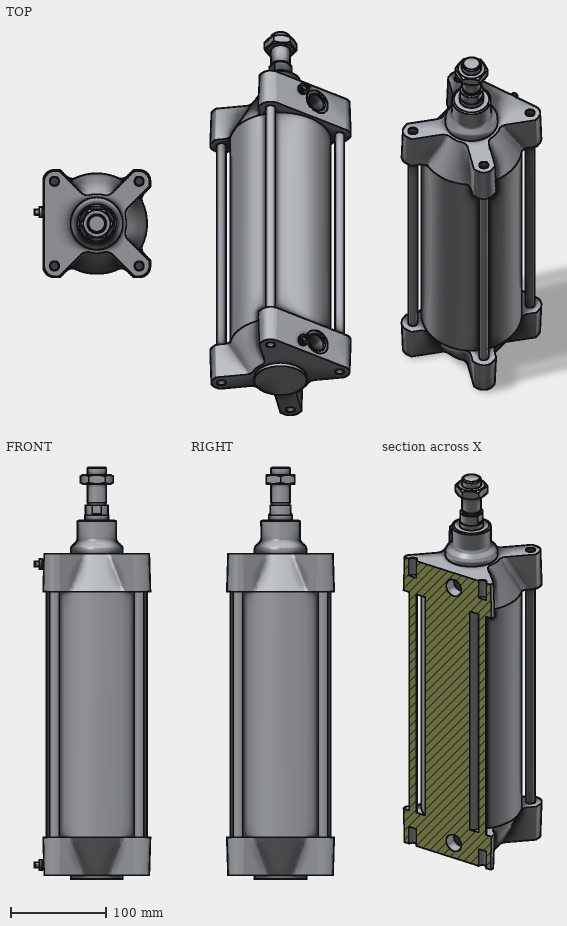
import cadquery as cq
import math


barrel_diameter = 106.0
barrel_length = 258.0
tie_rod_diameter = 10.0
tie_rod_spacing = 89.0

cap_side = 113.0
cap_height = 40.0
cap_draft = 1.8
cap_corner_radius = (cap_side - tie_rod_spacing) / 2
pocket_apex = 17.8
pocket_lip_radius = 2.5
dome_top_radius = 31.0
dome_fillet = 8.0
cap_hole_diameter = 8.9
cap_hole_mouth_diameter = 10.0
cap_hole_depth = 20.0
port_y = -8.0
port_below_face = 18.0
port_bore_diameter = 18.6
port_mouth_diameter = 21.0
port_spotface_diameter = 27.0
port_spotface_depth = 1.0
port_depth = 25.0

screw_y = 12.0
screw_below_face = 11.0
screw_tip_x = -65.5
screw_tip_diameter = 6.0
screw_tip_length = 5.0
screw_collar_diameter = 11.0
screw_collar_width = 3.0
screw_shank_diameter = 10.0
screw_slot_width = 1.2
screw_slot_depth = 1.0

spigot_diameter = 55.0
bottom_spigot_height = 4.0
top_spigot_height = 6.6
gland_diameter = 41.0
gland_height = 35.0
gland_blend_radius = 5.0
gland_rim_height = 1.0
gland_rim_width = 2.0

rod_insertion = cap_height
rod_diameter = 25.0
rod_shoulder_height = 40.5
wrench_diameter = 24.0
wrench_flats = 22.0
wrench_end_height = 51.0
flat_runout = 1.5
undercut_diameter = 18.5
undercut_height = 2.7
thread_diameter = 20.0
thread_chamfer = 1.5
rod_end_height = 91.0

nut_width = 30.0
nut_height = 10.0
nut_below_rod_end = 8.0
nut_face_diameter = 28.5
nut_bevel_angle = math.radians(30)

top_face_z = barrel_length / 2 + cap_height
tie_rod_offset = tie_rod_spacing / 2
corner_spots = [(x, y) for x in (-tie_rod_offset, tie_rod_offset) for y in (-tie_rod_offset, tie_rod_offset)]

pick_margin = 1.0


def cylinder(diameter, z_low, z_high):
    return cq.Workplane("XY").workplane(offset=z_low).circle(diameter / 2).extrude(z_high - z_low)


def x_cylinder(diameter, x_low, x_high, y, z):
    return (
        cq.Workplane("YZ", origin=(x_low, 0, 0))
        .center(y, z)
        .circle(diameter / 2)
        .extrude(x_high - x_low)
    )


def pocket(angle):
    """Drafted 90 degree V-shaped prism that parts two neighbouring corner arms."""
    reach = cap_side
    return (
        cq.Workplane("XY")
        .polyline([(pocket_apex, 0), (reach, reach - pocket_apex), (reach, pocket_apex - reach)])
        .close()
        .extrude(cap_height, taper=-cap_draft)
        .rotate((0, 0, 0), (0, 0, 1), angle)
    )


def is_lip(edge):
    """True for the upright edges where a pocket wall meets an outer side face."""
    middle = edge.Center()
    across = min(abs(middle.x), abs(middle.y))
    upright = edge.BoundingBox().zlen > cap_height / 2
    return upright and abs(across - (cap_side / 2 - pocket_apex)) < pick_margin


def is_dome_seam(edge):
    """True for the curves along which the conical dome runs into a pocket wall."""
    return edge.geomType() not in ("LINE", "CIRCLE") and edge.BoundingBox().zlen > cap_height / 2


def cap_casting():
    """End cap casting with its barrel side on Z = 0 and its outer face on top."""
    block = (
        cq.Workplane("XY")
        .sketch()
        .rect(cap_side, cap_side)
        .vertices()
        .fillet(cap_corner_radius)
        .finalize()
        .extrude(cap_height, taper=cap_draft)
    )
    for angle in (-90, 0, 90):
        block = block.cut(pocket(angle))
    lips = [edge for edge in block.edges().vals() if is_lip(edge)]
    block = block.newObject(lips).fillet(pocket_lip_radius)

    dome = cq.Workplane("XY").add(
        cq.Solid.makeCone(barrel_diameter / 2, dome_top_radius, cap_height)
    )
    block = block.union(dome)
    seams = [edge for edge in block.edges().vals() if is_dome_seam(edge)]
    return block.newObject(seams).fillet(dome_fillet)


def port_cut():
    """Air port bored in from the flat -X side, with a spotface and a bevelled mouth."""
    z = cap_height - port_below_face
    face_x = -cap_side / 2 + z * math.tan(math.radians(cap_draft))
    floor_x = face_x + port_spotface_depth
    bevel = (port_mouth_diameter - port_bore_diameter) / 2
    spotface = x_cylinder(port_spotface_diameter, -cap_side, floor_x, port_y, z)
    bore = x_cylinder(port_bore_diameter, -cap_side, face_x + port_depth, port_y, z)
    mouth = cq.Workplane("XY").add(
        cq.Solid.makeCone(
            port_mouth_diameter / 2,
            port_bore_diameter / 2,
            bevel,
            pnt=cq.Vector(floor_x, port_y, z),
            dir=cq.Vector(1, 0, 0),
        )
    )
    return spotface.union(bore).union(mouth)


def cushion_screw():
    """Slotted adjusting screw standing out of the flat -X side."""
    z = cap_height - screw_below_face
    collar_x = screw_tip_x + screw_tip_length
    shank_x = collar_x + screw_collar_width
    root_x = -tie_rod_offset
    tip = x_cylinder(screw_tip_diameter, screw_tip_x, root_x, screw_y, z)
    collar = x_cylinder(screw_collar_diameter, collar_x, shank_x, screw_y, z)
    shank = x_cylinder(screw_shank_diameter, shank_x, root_x, screw_y, z)
    slot = cq.Workplane("XY").box(
        2 * screw_slot_depth, screw_tip_diameter, screw_slot_width
    ).translate((screw_tip_x, screw_y, z))
    return tip.union(collar).union(shank).cut(slot)


def end_cap():
    """Finished cap: casting, corner holes with bevelled mouths, air port and cushion screw."""
    hole = cylinder(cap_hole_diameter, cap_height - cap_hole_depth, cap_height)
    mouth_bevel = (cap_hole_mouth_diameter - cap_hole_diameter) / 2
    mouth = cq.Workplane("XY").add(
        cq.Solid.makeCone(
            cap_hole_diameter / 2,
            cap_hole_mouth_diameter / 2,
            mouth_bevel,
            pnt=cq.Vector(0, 0, cap_height - mouth_bevel),
        )
    )
    hole = hole.union(mouth)
    cap = cap_casting()
    for x, y in corner_spots:
        cap = cap.cut(hole.translate((x, y, 0)))
    return cap.cut(port_cut()).union(cushion_screw())


def rod_gland():
    """Turned boss on the top cap: spigot, 45 degree shoulder and guide sleeve."""
    spigot_radius = spigot_diameter / 2
    sleeve_radius = gland_diameter / 2
    shoulder_height = top_spigot_height + spigot_radius - sleeve_radius
    boss = (
        cq.Workplane("XZ")
        .moveTo(0, 0)
        .lineTo(spigot_radius, 0)
        .lineTo(spigot_radius, top_spigot_height)
        .lineTo(sleeve_radius, shoulder_height)
        .lineTo(sleeve_radius, gland_height)
        .lineTo(0, gland_height)
        .close()
        .revolve(360, (0, 0, 0), (0, 1, 0))
    )
    shoulder_edges = [
        edge
        for edge in boss.edges("%CIRCLE").vals()
        if top_spigot_height - pick_margin < edge.Center().z < shoulder_height + pick_margin
    ]
    boss = boss.newObject(shoulder_edges).fillet(gland_blend_radius)
    rim_bevel = (
        cq.Workplane("XZ")
        .moveTo(sleeve_radius, gland_height)
        .lineTo(sleeve_radius - gland_rim_width, gland_height)
        .lineTo(sleeve_radius, gland_height - gland_rim_height)
        .close()
        .revolve(360, (0, 0, 0), (0, 1, 0))
    )
    return boss.cut(rim_bevel).translate((0, 0, top_face_z))


def make_housing():
    """Barrel, tie rods, both caps, bottom spigot and gland, bored for the rod."""
    half_length = barrel_length / 2
    cap = end_cap()
    top_cap = cap.translate((0, 0, half_length))
    bottom_cap = cap.mirror("XY").translate((0, 0, -half_length))
    tie_rods = (
        cq.Workplane("XY")
        .workplane(offset=-half_length)
        .pushPoints(corner_spots)
        .circle(tie_rod_diameter / 2)
        .extrude(barrel_length)
    )
    bottom_spigot = cylinder(spigot_diameter, -top_face_z - bottom_spigot_height, -top_face_z)
    housing = cylinder(barrel_diameter, -half_length, half_length)
    for piece in (top_cap, bottom_cap, tie_rods, bottom_spigot, rod_gland()):
        housing = housing.union(piece)
    return housing.cut(cylinder(rod_diameter, top_face_z - rod_insertion, top_face_z + gland_height))


def wrench_flat_cut(side):
    """Material beside one wrench flat, ending below in a sloping run-out."""
    flat_y = wrench_flats / 2
    outer_y = flat_y + flat_runout
    return (
        cq.Workplane("YZ")
        .polyline(
            [
                (side * flat_y, rod_shoulder_height + flat_runout),
                (side * outer_y, rod_shoulder_height),
                (side * rod_diameter, rod_shoulder_height),
                (side * rod_diameter, wrench_end_height),
                (side * flat_y, wrench_end_height),
            ]
        )
        .close()
        .extrude(rod_diameter, both=True)
    )


def make_piston_rod():
    """Stepped rod: shaft, wrench section with two flats, undercut and thread."""
    undercut_top = wrench_end_height + undercut_height
    rod = cylinder(rod_diameter, -rod_insertion, rod_shoulder_height)
    wrench_section = cylinder(wrench_diameter, rod_shoulder_height, wrench_end_height)
    for side in (-1, 1):
        wrench_section = wrench_section.cut(wrench_flat_cut(side))
    undercut = cylinder(undercut_diameter, wrench_end_height, undercut_top)
    thread = cylinder(thread_diameter, undercut_top, rod_end_height).faces(">Z").chamfer(thread_chamfer)
    rod = rod.union(wrench_section).union(undercut).union(thread)
    return rod.translate((0, 0, top_face_z))


def make_lock_nut():
    """Hexagonal nut with corners along X, its end corners bevelled by a cone."""
    corner_diameter = nut_width / math.cos(math.pi / 6)
    nut = cq.Workplane("XY").polygon(6, corner_diameter).extrude(nut_height)
    bevel_width = (corner_diameter - nut_face_diameter) / 2
    bevel_drop = bevel_width * math.tan(nut_bevel_angle)
    corner_radius = corner_diameter / 2
    face_radius = nut_face_diameter / 2
    envelope = (
        cq.Workplane("XZ")
        .polyline(
            [
                (0, 0),
                (face_radius, 0),
                (corner_radius, bevel_drop),
                (corner_radius, nut_height - bevel_drop),
                (face_radius, nut_height),
                (0, nut_height),
            ]
        )
        .close()
        .revolve(360, (0, 0, 0), (0, 1, 0))
    )
    nut = nut.intersect(envelope).cut(cylinder(thread_diameter, 0, nut_height))
    base_z = top_face_z + rod_end_height - nut_below_rod_end - nut_height
    return nut.translate((0, 0, base_z))


housing = make_housing()
piston_rod = make_piston_rod()
lock_nut = make_lock_nut()

result = cq.Compound.makeCompound([housing.val(), piston_rod.val(), lock_nut.val()])